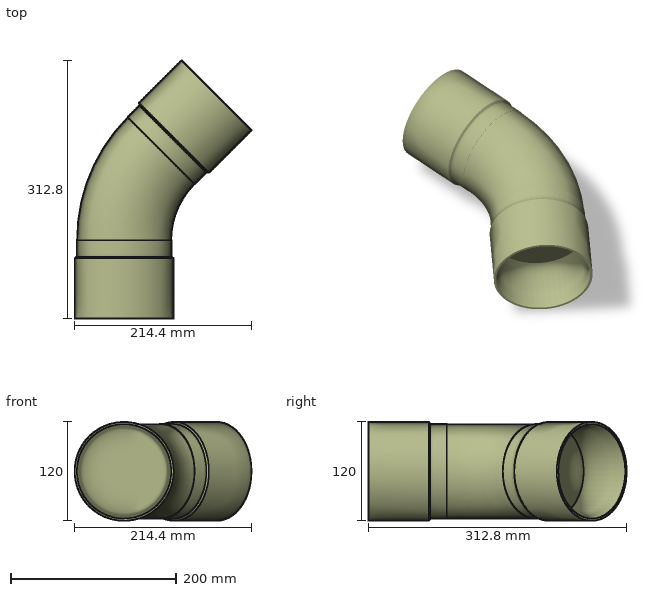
import cadquery as cq
import math

bend_angle = 45.0
bend_radius = 153.0
bend_diameter = 114.3
collar_diameter = 115.0
socket_diameter = 120.0
socket_bore = 114.3
end_length = 95.0
socket_length = 75.0
shoulder_length = 2.0
bore_depth = 71.0

bend_centre = (bend_radius, 0)
full_turn = 360.0
collar_length = end_length - socket_length


def make_bend():
    """Solid round bend starting at the origin and turning toward +X."""
    axis_end = (bend_radius, -bend_radius)
    return (
        cq.Workplane("XZ")
        .circle(bend_diameter / 2)
        .revolve(bend_angle, bend_centre, axis_end)
    )


def make_end():
    """Collar, conical shoulder and blind socket, running from the origin along -Y."""
    collar_radius = collar_diameter / 2
    socket_radius = socket_diameter / 2
    bore_radius = socket_bore / 2
    shoulder_end = collar_length + shoulder_length
    bore_floor = end_length - bore_depth
    return (
        cq.Workplane("XY")
        .moveTo(0, 0)
        .lineTo(collar_radius, 0)
        .lineTo(collar_radius, -collar_length)
        .lineTo(socket_radius, -shoulder_end)
        .lineTo(socket_radius, -end_length)
        .lineTo(bore_radius, -end_length)
        .lineTo(bore_radius, -bore_floor)
        .lineTo(0, -bore_floor)
        .close()
        .revolve(full_turn, (0, 0), (0, 1))
    )


def place_at_outlet(end):
    """Mirror an inlet end across the plane that halves the bend."""
    half_angle = math.radians(bend_angle / 2)
    mirror_normal = cq.Vector(math.sin(half_angle), math.cos(half_angle), 0)
    return cq.Workplane(end.val().mirror(mirror_normal, cq.Vector(*bend_centre)))


inlet = make_end()
outlet = place_at_outlet(inlet)
result = make_bend().union(inlet).union(outlet)